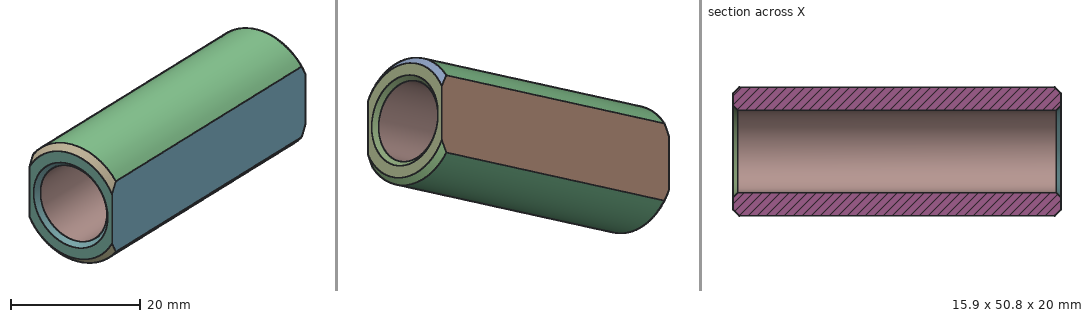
import cadquery as cq

length = 50.8
outer_diameter = 20.0
width_across_flats = 15.85
bore_diameter = 12.7
mouth_diameter = 14.2
outer_chamfer = 1.0
mouth_chamfer = (mouth_diameter - bore_diameter) / 2


def barrel():
    """Round bar along Y, centred on the origin, with both rims chamfered."""
    bar = cq.Workplane("XZ").circle(outer_diameter / 2).extrude(length / 2, both=True)
    return bar.faces("<Y or >Y").chamfer(outer_chamfer)


def flats_envelope():
    """Box that trims the bar to two parallel flats facing -X and +X."""
    return cq.Workplane("XY").box(width_across_flats, length, outer_diameter)


def bore():
    """Through bore, widening to a conical countersink at each end."""
    half_length = length / 2
    bore_radius = bore_diameter / 2
    mouth_radius = mouth_diameter / 2
    cone_start = half_length - mouth_chamfer
    profile = (
        cq.Workplane("XY")
        .moveTo(0, -half_length)
        .lineTo(mouth_radius, -half_length)
        .lineTo(bore_radius, -cone_start)
        .lineTo(bore_radius, cone_start)
        .lineTo(mouth_radius, half_length)
        .lineTo(0, half_length)
        .close()
    )
    return profile.revolve(360, (0, 0), (0, 1))


result = barrel().intersect(flats_envelope()).cut(bore())